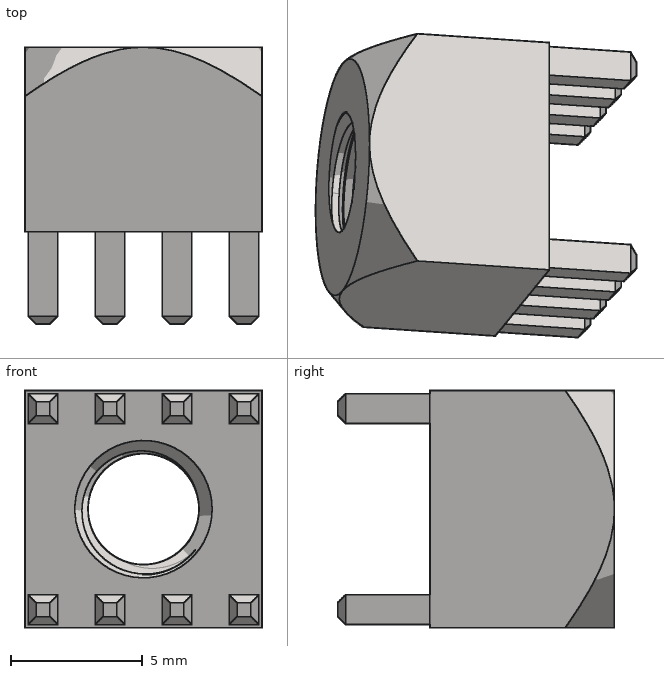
import cadquery as cq
import math

total_length = 10.5
pin_length = 3.5
body_width = 9.0
body_length = total_length - pin_length
envelope_margin = 0.1

pins_per_row = 4
pin_pitch = 2.54
row_spacing = (pins_per_row - 1) * pin_pitch
pin_width = 1.13
tip_chamfer = 0.3
pin_root = 0.21

thread_pitch = 0.8
minor_diameter = 4.2
major_diameter = 5.0
countersink_diameter = 5.21
crest_flat = 0.27
root_flat = 0.05
groove_overlap = 0.05
thread_start_angle = 258
thread_lead_in = 1.5 * thread_pitch


def make_body():
    """Square block whose far end is turned down to a 45 degree cone."""
    flat_radius = body_width / 2
    corner_radius = flat_radius * math.sqrt(2)
    envelope_radius = corner_radius + envelope_margin
    cone_start = body_length - (envelope_radius - flat_radius)
    block = cq.Workplane("XY").box(body_width, body_length, body_width, centered=(True, False, True))
    envelope = (
        cq.Workplane("XY")
        .polyline([
            (0, 0),
            (envelope_radius, 0),
            (envelope_radius, cone_start),
            (flat_radius, body_length),
            (0, body_length),
        ])
        .close()
        .revolve(360, (0, 0, 0), (0, 1, 0))
    )
    return block.intersect(envelope)


def make_bore():
    """Plain hole at the minor diameter with a 45 degree countersink on the pin side."""
    bore_radius = minor_diameter / 2
    rim_radius = countersink_diameter / 2
    return (
        cq.Workplane("XY")
        .polyline([
            (0, 0),
            (rim_radius, 0),
            (bore_radius, rim_radius - bore_radius),
            (bore_radius, body_length),
            (0, body_length),
        ])
        .close()
        .revolve(360, (0, 0, 0), (0, 1, 0))
    )


def make_thread_groove():
    """Right-hand helical groove of trapezoid section, bounded by ruled helical faces."""
    bore_radius = minor_diameter / 2
    root_radius = major_diameter / 2
    inner_radius = bore_radius - groove_overlap
    mouth_half = (thread_pitch - crest_flat) / 2
    root_half = root_flat / 2
    flank_slope = (mouth_half - root_half) / (root_radius - bore_radius)
    inner_half = mouth_half + flank_slope * groove_overlap
    section = [
        (inner_radius, -inner_half),
        (root_radius, -root_half),
        (root_radius, root_half),
        (inner_radius, inner_half),
    ]
    groove_length = body_length + 2 * thread_lead_in
    helices = [
        cq.Wire.makeHelix(thread_pitch, groove_length, radius, center=cq.Vector(0, 0, height))
        for radius, height in section
    ]
    faces = []
    for index, helix in enumerate(helices):
        neighbour = helices[(index + 1) % len(helices)]
        faces += cq.Face.makeRuledSurface(helix, neighbour).Faces()
    for ends in ([helix.startPoint() for helix in helices], [helix.endPoint() for helix in helices]):
        faces.append(cq.Face.makeFromWires(cq.Wire.makePolygon(ends, close=True)))
    groove = cq.Workplane(obj=cq.Solid.makeSolid(cq.Shell.makeShell(faces)))
    turned = groove.rotate((0, 0, 0), (0, 0, 1), thread_start_angle)
    laid = turned.rotate((0, 0, 0), (1, 0, 0), 90)
    return laid.translate((0, body_length + thread_lead_in, 0))


def make_pins():
    """Both rows of pins."""
    spots = cq.Workplane("XZ", origin=(0, pin_root, 0)).rarray(pin_pitch, row_spacing, pins_per_row, 2)
    pins = spots.rect(pin_width, pin_width).extrude(pin_length + pin_root)
    return pins.faces("<Y").chamfer(tip_chamfer)


result = make_body().cut(make_thread_groove()).cut(make_bore()).union(make_pins())